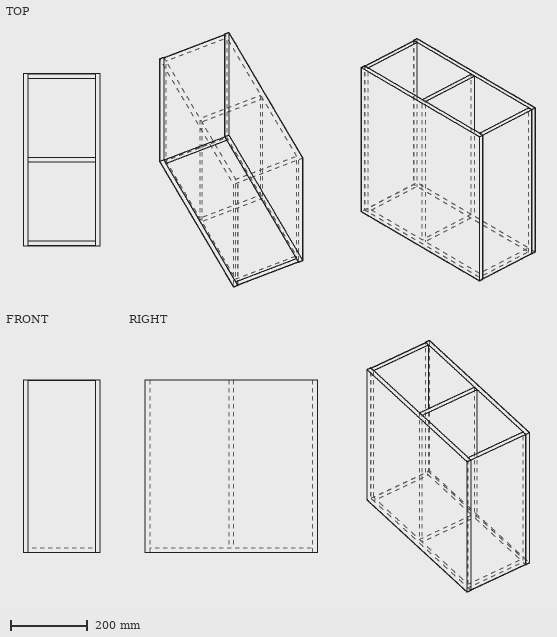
import cadquery as cq

box_width = 200.0
box_length = 450.0
box_height = 450.0
panel_thickness = 12.0
setback = 1.0

inner_width = box_width - 2 * panel_thickness
end_height = box_height - setback
end_offset = box_length / 2 - setback - panel_thickness / 2
floor_length = box_length - 2 * setback - 2 * panel_thickness
side_offset = (box_width - panel_thickness) / 2


def make_panel(size_x, size_y, size_z, center_x, center_y, bottom_z):
    """A plain board centered on the given X and Y and standing on bottom_z."""
    return (
        cq.Workplane("XY")
        .box(size_x, size_y, size_z, centered=(True, True, False))
        .translate((center_x, center_y, bottom_z))
    )


def make_side(center_x):
    """Full-size outer panel that closes the box along X."""
    return make_panel(panel_thickness, box_length, box_height, center_x, 0, 0)


def make_end(center_y):
    """Panel between the sides that closes the box along Y."""
    return make_panel(inner_width, panel_thickness, end_height, 0, center_y, 0)


def make_floor():
    """Bottom panel lying between the sides and the ends."""
    return make_panel(inner_width, floor_length, panel_thickness, 0, 0, 0)


def make_divider():
    """Middle panel standing on the floor, level with the ends at the top."""
    divider_height = end_height - panel_thickness
    return make_panel(inner_width, panel_thickness, divider_height, 0, 0, panel_thickness)


sides = [make_side(direction * side_offset) for direction in (-1, 1)]
ends = [make_end(direction * end_offset) for direction in (-1, 1)]
floor = make_floor()
divider = make_divider()

panels = [*sides, *ends, floor, divider]
result = cq.Compound.makeCompound([panel.val() for panel in panels])